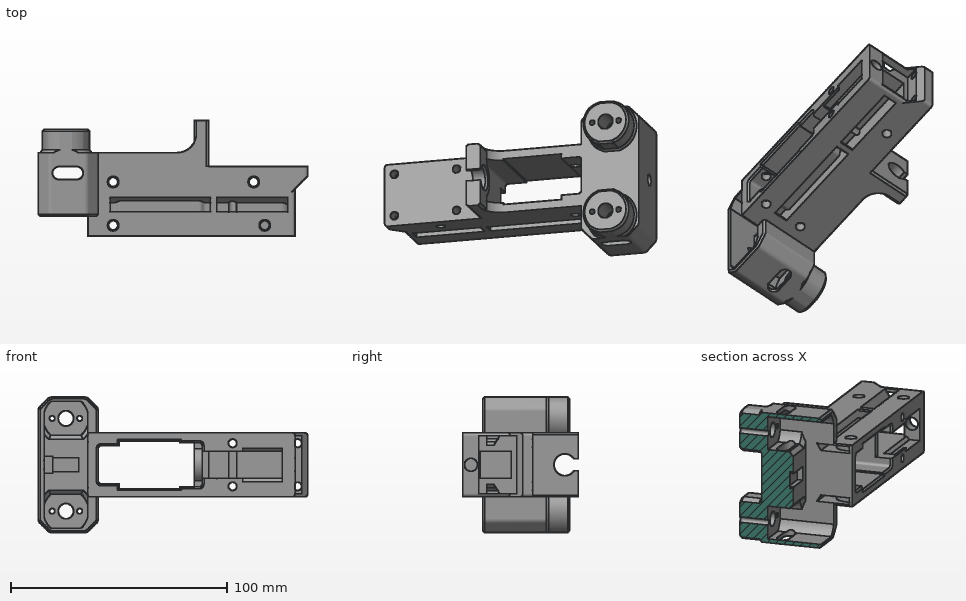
import cadquery as cq
import math

TOTAL_LENGTH = 124.8
TOTAL_DEPTH = 53.5
TOTAL_HEIGHT = 62.7
BODY_HALF = 14.8
BODY_LEFT = 23.0
BODY_RIGHT = 118.9
BODY_BACK = 38.7
TAIL_BACK = 32.3
TAIL_SLOPE = TOTAL_LENGTH - BODY_RIGHT
TAIL_TIP_Y = 27.8
TAIL_FILLET = 1.5

PLATE_LEFT = 72.1
PLATE_RIGHT = 79.0
PLATE_CHAMFER = (1.1, 0.9)
GUSSET_RADIUS = 9.0
GUSSET_X = PLATE_LEFT + PLATE_CHAMFER[0] - GUSSET_RADIUS
CLIP_Y = 47.3
CLIP_RADIUS = 5.0
CLIP_CHAMFER = 1.0
CLIP_GAP_HALF = 2.7

SLEEVE_WIDTH = 27.8
SLEEVE_HALF = TOTAL_HEIGHT / 2
SLEEVE_FRONT = 9.2
SLEEVE_CORNER = 5.2
SLEEVE_ROUND = 2.7
SLEEVE_EDGE = 0.94
CAVITY_LEFT = 2.7
CAVITY_HALF = 29.3
CAVITY_FLOOR = 23.0
BOSS_X = 12.8
BOSS_Z = 21.5
BOSS_RADIUS = 11.0
BOSS_FLAT = (2.9, SLEEVE_HALF - BOSS_Z)
BOSS_BULGE = (5.6, 9.0)
BOSS_SHOULDER = (8.0, 7.5)
BOSS_INNER = (6.2, -9.0)
BOSS_INNER_FLAT = (3.5, -10.4)
BOSS_END = 49.5
BOSS_EDGE = 1.0
BOSS_FLARE = 1.2
BOSS_RIM_TAPER = 45
BOSS_FLARE_TAPER = 35
SEAT_RADIUS = 10.5
SEAT_END = 35.5
SEAT_INNER_Z = 13.7
SEAT_BEVEL = 2.0
CORD_RADIUS = 3.5
PILOT_RADIUS = 1.19
PILOT_OFFSET = 6.4
SLOT_X = 13.7
SLOT_Y = 29.2
SLOT_LENGTH = 14.1
SLOT_WIDTH = 5.9
SIDE_HOLE_Y = 21.6
RECESS_HEAD = (6.9, 24.7, 4.0)
RECESS_SHANK = (18.8, 25.6, 3.2)

WINDOW_LEFT = 27.8
WINDOW_RIGHT = 75.8
WINDOW_STEPS = (37.4, 65.5)
WINDOW_HALVES = (8.9, 11.0, 10.2)
WINDOW_ROUND = 1.4
WINDOW_CHAMFER = 0.9
WINDOW_ROOF = 43.0

BAY_HALF = 6.2
BAY_WIDE_HALF = 7.7
BAY_WIDE_LEFT = 94.7
BAY_RIGHT = 112.9
BAY_LEDGE_Y = 8.1
BAY_BACK = 22.5
POCKET_LEFT = 115.5
POCKET_FRONT = 7.5
POCKET_HALF = 13.3
POCKET_BACK = 25.0
UNDERCUT_LEFT = 82.7
UNDERCUT_FRONT = 1.1
UNDERCUT_BACK = 5.0
GROOVE_DEPTH = 1.2
END_HOLE = (3.9, 3.0)

CHANNEL_TOP = 14.0
CHANNEL_DEEP = 10.7
CHANNEL_SHALLOW = 12.1
CHANNEL_FRONT = 11.2
CHANNEL_BACK = 18.0
CHANNEL_DEEP_BACK = 15.5
SLOTS = ((33.3, 79.7), (82.7, 115.5))
SHALLOW_RANGE = (38.2, 74.5)
RAMP = 3.2
MOUTH_FRONT = 1.5
MOUTH_FLAT = 4.6

SCREW_RADIUS = 2.1
SCREW_MOUTH_RADIUS = 2.6
SCREW_TAPER_DEPTH = CAVITY_LEFT
THROUGH_SCREWS = ((34.7, 5.0), (34.7, 25.1), (99.7, 25.1))
BLIND_SCREW = (104.8, 5.0)
BLIND_SCREW_BOTTOM = BAY_WIDE_HALF + 0.6
CROSS_RADIUS = 1.9
CROSS_Z = 10.0
CROSS_X = (90.0, 120.0)


def box(x0, x1, y0, y1, z0, z1):
    """Box between two opposite corners."""
    return cq.Workplane("XY").box(x1 - x0, y1 - y0, z1 - z0, centered=False).translate((x0, y0, z0))


def band(x0, x1, y0, y1, half):
    """Box centred on the plane of symmetry."""
    return box(x0, x1, y0, y1, -half, half)


def cross_section(y):
    """Workplane facing +Y at depth y; its local axes are X and -Z."""
    return cq.Workplane("XZ", origin=(0, y, 0)).transformed(rotate=(180, 0, 0))


def rod_y(x, z, radius, y0, y1):
    """Cylinder along Y."""
    return cq.Workplane(cq.Solid.makeCylinder(radius, y1 - y0, cq.Vector(x, y0, z), cq.Vector(0, 1, 0)))


def rod_x(y, z, radius, x0, x1):
    """Cylinder along X."""
    return cq.Workplane(cq.Solid.makeCylinder(radius, x1 - x0, cq.Vector(x0, y, z), cq.Vector(1, 0, 0)))


def tapered_mouth(point, direction, rim_radius, radius, depth):
    """Cone that widens the mouth of a hole; direction points into the material."""
    cone = cq.Solid.makeCone(rim_radius, radius, depth, cq.Vector(*point), cq.Vector(*direction))
    return cq.Workplane(cone)


def mirrored(shape):
    """The shape together with its mirror image across Z = 0."""
    return shape.union(shape.mirror("XY"))


def make_body():
    slope_y = TAIL_TIP_Y - TAIL_SLOPE
    block = (
        cq.Workplane("XY")
        .moveTo(BODY_LEFT, 0)
        .lineTo(BODY_RIGHT, 0)
        .lineTo(BODY_RIGHT, slope_y)
        .lineTo(TOTAL_LENGTH, TAIL_TIP_Y)
        .lineTo(TOTAL_LENGTH, TAIL_BACK)
        .lineTo(PLATE_LEFT, TAIL_BACK)
        .lineTo(PLATE_LEFT, BODY_BACK)
        .lineTo(BODY_LEFT, BODY_BACK)
        .close()
        .extrude(BODY_HALF, both=True)
    )
    right_end = cq.selectors.BoxSelector(
        (BODY_RIGHT - TAIL_FILLET, 0, -TOTAL_DEPTH), (TOTAL_LENGTH + TAIL_FILLET, TAIL_BACK, TOTAL_DEPTH)
    )
    block = block.edges(right_end).edges("|Y").fillet(TAIL_FILLET)
    dx, dz = PLATE_CHAMFER
    plate = (
        cross_section(TAIL_BACK)
        .polyline([
            (PLATE_LEFT, BODY_HALF - dz),
            (PLATE_LEFT + dx, BODY_HALF),
            (PLATE_RIGHT - dx, BODY_HALF),
            (PLATE_RIGHT, BODY_HALF - dz),
            (PLATE_RIGHT, dz - BODY_HALF),
            (PLATE_RIGHT - dx, -BODY_HALF),
            (PLATE_LEFT + dx, -BODY_HALF),
            (PLATE_LEFT, dz - BODY_HALF),
        ])
        .close()
        .extrude(TOTAL_DEPTH - TAIL_BACK)
    )
    gusset = (
        band(GUSSET_X, GUSSET_X + GUSSET_RADIUS, TAIL_BACK, BODY_BACK + GUSSET_RADIUS, BODY_HALF)
        .cut(cq.Workplane("XY").center(GUSSET_X, BODY_BACK + GUSSET_RADIUS)
             .circle(GUSSET_RADIUS).extrude(BODY_HALF, both=True))
    )
    return block.union(plate).union(gusset)


def boss_outline(plane):
    """Round outline, flattened at both ends along Z, centred on the boss axis."""
    right_side = (BOSS_FLAT, BOSS_BULGE, BOSS_SHOULDER, BOSS_INNER, BOSS_INNER_FLAT)
    flat, bulge, shoulder, inner, inner_flat = ((-x, z) for x, z in right_side)
    return (
        plane.moveTo(*flat)
        .lineTo(*BOSS_FLAT)
        .threePointArc(BOSS_BULGE, BOSS_SHOULDER)
        .threePointArc((BOSS_RADIUS, 0), BOSS_INNER)
        .lineTo(*BOSS_INNER_FLAT)
        .lineTo(*inner_flat)
        .lineTo(*inner)
        .threePointArc((-BOSS_RADIUS, 0), shoulder)
        .threePointArc(bulge, flat)
        .close()
    )


def boss_plane(y):
    """Plane facing -Y on the boss axis at depth y."""
    return cq.Workplane("XZ", origin=(BOSS_X, y, BOSS_Z))


def make_boss():
    rim_y = BOSS_END - BOSS_EDGE
    flare_y = BODY_BACK + BOSS_FLARE
    shaft = boss_outline(boss_plane(rim_y)).extrude(rim_y - BODY_BACK)
    rim = boss_outline(boss_plane(rim_y)).extrude(-BOSS_EDGE, taper=BOSS_RIM_TAPER)
    flare = boss_outline(boss_plane(flare_y)).extrude(BOSS_FLARE, taper=-BOSS_FLARE_TAPER)
    return shaft.union(rim).union(flare.intersect(band(0, SLEEVE_WIDTH, 0, TOTAL_DEPTH, SLEEVE_HALF)))


def make_sleeve():
    block = (
        band(0, SLEEVE_WIDTH, SLEEVE_FRONT, BODY_BACK, SLEEVE_HALF)
        .edges("|Y").chamfer(SLEEVE_CORNER)
        .edges("|Y").fillet(SLEEVE_ROUND)
        .faces("<Y").chamfer(SLEEVE_EDGE)
    )
    return block.union(mirrored(make_boss()))


def round_ends(y0, y1):
    """Round cut about both boss axes."""
    return mirrored(rod_y(BOSS_X, BOSS_Z, SEAT_RADIUS, y0, y1))


def boss_seats():
    """Deep round seats; a bevel widens their sides towards Z = 0 at the cavity floor."""
    bevel_end = CAVITY_FLOOR + SEAT_BEVEL
    straight = round_ends(CAVITY_FLOOR, SEAT_END).intersect(
        mirrored(box(CAVITY_LEFT, BODY_LEFT, CAVITY_FLOOR, SEAT_END, SEAT_INNER_Z, CAVITY_HALF))
    )
    cone = tapered_mouth(
        (BOSS_X, CAVITY_FLOOR, BOSS_Z), (0, 1, 0), SEAT_RADIUS + SEAT_BEVEL, SEAT_RADIUS, SEAT_BEVEL
    )
    inner_side = (
        cq.Workplane("YZ", origin=(CAVITY_LEFT, 0, 0))
        .polyline([
            (CAVITY_FLOOR, SEAT_INNER_Z - SEAT_BEVEL),
            (bevel_end, SEAT_INNER_Z),
            (bevel_end, BOSS_Z),
            (CAVITY_FLOOR, BOSS_Z),
        ])
        .close()
        .extrude(BODY_LEFT - CAVITY_LEFT)
    )
    return straight.union(mirrored(cone.intersect(inner_side)))


def sleeve_cuts():
    past_front = -SLEEVE_EDGE
    cavity = band(CAVITY_LEFT, BODY_LEFT, past_front, CAVITY_FLOOR, BOSS_Z)
    cavity = cavity.union(round_ends(past_front, CAVITY_FLOOR))
    cavity = cavity.intersect(band(CAVITY_LEFT, BODY_LEFT, past_front, CAVITY_FLOOR, CAVITY_HALF))

    cuts = cavity.union(boss_seats())
    for x, radius in ((0, CORD_RADIUS), (-PILOT_OFFSET, PILOT_RADIUS), (PILOT_OFFSET, PILOT_RADIUS)):
        cuts = cuts.union(mirrored(rod_y(BOSS_X + x, BOSS_Z, radius, CAVITY_FLOOR, BOSS_END)))

    head_right, head_y, head_half = RECESS_HEAD
    shank_right, shank_y, shank_half = RECESS_SHANK
    cuts = cuts.union(band(CAVITY_LEFT, head_right, SIDE_HOLE_Y, head_y, head_half))
    cuts = cuts.union(band(head_right, shank_right, SIDE_HOLE_Y, shank_y, shank_half))
    cuts = cuts.union(rod_x(SIDE_HOLE_Y, 0, SCREW_RADIUS, 0, CAVITY_LEFT))
    side_mouth = tapered_mouth(
        (0, SIDE_HOLE_Y, 0), (1, 0, 0), SCREW_MOUTH_RADIUS, SCREW_RADIUS, SCREW_TAPER_DEPTH
    )
    cuts = cuts.union(side_mouth)

    slot = (
        cq.Workplane("XY").center(SLOT_X, SLOT_Y)
        .slot2D(SLOT_LENGTH, SLOT_WIDTH).extrude(SLEEVE_HALF, both=True)
    )
    return cuts.union(slot)


def window_prism(y_back):
    """Stepped window outline with rounded ends, cut from y_back to the front face."""
    x1, x2 = WINDOW_STEPS
    left, middle, right = WINDOW_HALVES
    upper = [(WINDOW_LEFT, left), (x1, left), (x1, middle), (x2, middle), (x2, right), (WINDOW_RIGHT, right)]
    lower = [(x, -z) for x, z in reversed(upper)]
    prism = cq.Workplane("XZ", origin=(0, y_back, 0)).polyline(upper + lower).close().extrude(y_back)
    return prism.edges("|Y and (<X or >X)").fillet(WINDOW_ROUND)


def window_cut():
    past_back = TOTAL_DEPTH + WINDOW_CHAMFER
    roof = band(PLATE_LEFT, PLATE_RIGHT, WINDOW_ROOF, past_back, BODY_HALF)
    clip_ring = rod_x(CLIP_Y, 0, CLIP_Y - BODY_BACK, PLATE_LEFT, PLATE_RIGHT)
    outline = window_prism(WINDOW_CHAMFER).faces(">Y").wires().vals()
    bevel = (
        cq.Workplane("XZ", origin=(0, WINDOW_CHAMFER, 0))
        .newObject(outline).toPending()
        .extrude(WINDOW_CHAMFER, taper=-45)
    )
    return window_prism(past_back).cut(roof).cut(clip_ring).union(bevel)


def clip_cuts():
    hole = rod_x(CLIP_Y, 0, CLIP_RADIUS, PLATE_LEFT, PLATE_RIGHT)
    bevel = tapered_mouth(
        (PLATE_LEFT, CLIP_Y, 0), (1, 0, 0), CLIP_RADIUS + CLIP_CHAMFER, CLIP_RADIUS, CLIP_CHAMFER
    )
    gap = band(PLATE_LEFT, PLATE_RIGHT, CLIP_Y, TOTAL_DEPTH, CLIP_GAP_HALF)
    return hole.union(bevel).union(gap)


def bay_cuts():
    bay = band(WINDOW_RIGHT, PLATE_RIGHT, 0, BAY_LEDGE_Y, BAY_HALF)
    bay = bay.union(band(PLATE_RIGHT, BAY_RIGHT, 0, BAY_BACK, BAY_HALF))
    bay = bay.union(band(BAY_RIGHT, POCKET_LEFT, POCKET_FRONT, BAY_BACK, BAY_HALF))
    bay = bay.union(band(POCKET_LEFT, TOTAL_LENGTH, POCKET_FRONT, POCKET_BACK, POCKET_HALF))
    bay = bay.union(band(BAY_WIDE_LEFT, BAY_RIGHT, 0, UNDERCUT_BACK, BAY_WIDE_HALF))
    bevel = BAY_WIDE_HALF - BAY_HALF
    undercut = (
        cq.Workplane("YZ", origin=(UNDERCUT_LEFT, 0, 0))
        .polyline([
            (UNDERCUT_FRONT, 0),
            (UNDERCUT_FRONT, BAY_WIDE_HALF),
            (UNDERCUT_BACK, BAY_WIDE_HALF),
            (UNDERCUT_BACK + bevel, BAY_HALF),
            (UNDERCUT_BACK + bevel, 0),
        ])
        .close()
        .extrude(BAY_RIGHT - UNDERCUT_LEFT)
    )
    bay = bay.union(mirrored(undercut))
    groove = band(
        CROSS_X[0] - CROSS_RADIUS, CROSS_X[0] + CROSS_RADIUS, BAY_BACK, BAY_BACK + GROOVE_DEPTH, BAY_HALF
    )
    end_y, end_radius = END_HOLE
    return bay.union(groove).union(rod_x(end_y, 0, end_radius, BAY_RIGHT, BODY_RIGHT))


def channel_floor():
    """Space above the stepped channel floor, as a wide prism along Y."""
    left, right = SHALLOW_RANGE
    middle_z = (CHANNEL_DEEP + CHANNEL_SHALLOW) / 2
    lip = POCKET_LEFT - RAMP
    return (
        cq.Workplane("XZ")
        .moveTo(BODY_LEFT, CHANNEL_DEEP)
        .lineTo(left - RAMP, CHANNEL_DEEP)
        .tangentArcPoint((left - RAMP / 2, middle_z), relative=False)
        .tangentArcPoint((left, CHANNEL_SHALLOW), relative=False)
        .lineTo(right, CHANNEL_SHALLOW)
        .tangentArcPoint((right + RAMP / 2, middle_z), relative=False)
        .tangentArcPoint((right + RAMP, CHANNEL_DEEP), relative=False)
        .lineTo(lip, CHANNEL_DEEP)
        .tangentArcPoint((POCKET_LEFT, CHANNEL_DEEP - RAMP / 2), relative=False)
        .lineTo(POCKET_LEFT, BODY_HALF)
        .lineTo(BODY_LEFT, BODY_HALF)
        .close()
        .extrude(-BODY_BACK)
    )


def channel_cuts():
    slope = (CHANNEL_BACK - CHANNEL_DEEP_BACK) / (BODY_HALF - CHANNEL_DEEP)
    floor_z = CHANNEL_DEEP - RAMP
    section = [
        (CHANNEL_FRONT, floor_z),
        (CHANNEL_FRONT, BODY_HALF),
        (CHANNEL_BACK, BODY_HALF),
        (CHANNEL_BACK - slope * (BODY_HALF - floor_z), floor_z),
    ]
    run = (
        cq.Workplane("YZ", origin=(BODY_LEFT, 0, 0))
        .polyline(section).close().extrude(POCKET_LEFT - BODY_LEFT)
    )
    covered = box(BODY_LEFT, POCKET_LEFT, 0, BODY_BACK, 0, CHANNEL_TOP)
    for left, right in SLOTS:
        covered = covered.union(box(left, right, 0, BODY_BACK, 0, BODY_HALF))
    run = run.intersect(covered).intersect(channel_floor())

    turn = CHANNEL_FRONT - MOUTH_FLAT
    mouth_end = SLOTS[0][0] - turn
    bend = turn * (1 - math.sqrt(0.5))
    mouth = (
        cq.Workplane("XY", origin=(0, 0, CHANNEL_DEEP))
        .moveTo(BODY_LEFT, MOUTH_FRONT)
        .lineTo(mouth_end, MOUTH_FRONT)
        .lineTo(mouth_end, MOUTH_FLAT)
        .threePointArc((mouth_end + bend, CHANNEL_FRONT - bend), (SLOTS[0][0], CHANNEL_FRONT))
        .lineTo(SLOTS[0][0], CHANNEL_DEEP_BACK)
        .lineTo(BODY_LEFT, CHANNEL_DEEP_BACK)
        .close()
        .extrude(CHANNEL_TOP - CHANNEL_DEEP)
    )
    return mirrored(run.union(mouth))


def screw_cut(x, y, bottom):
    """Screw hole along Z with a tapered mouth at the top."""
    hole = cq.Workplane("XY", origin=(x, y, bottom)).circle(SCREW_RADIUS).extrude(BODY_HALF - bottom)
    mouth = tapered_mouth((x, y, BODY_HALF), (0, 0, -1), SCREW_MOUTH_RADIUS, SCREW_RADIUS, SCREW_TAPER_DEPTH)
    return hole.union(mouth)


def screw_cuts():
    cuts = screw_cut(*BLIND_SCREW, BLIND_SCREW_BOTTOM)
    for x, y in THROUGH_SCREWS:
        cuts = cuts.union(screw_cut(x, y, -BODY_HALF))
    for x, start in zip(CROSS_X, (0, POCKET_FRONT)):
        cuts = cuts.union(mirrored(rod_y(x, CROSS_Z, CROSS_RADIUS, start, TAIL_BACK)))
    return cuts


result = make_body().union(make_sleeve())
for feature in (sleeve_cuts(), window_cut(), clip_cuts(), bay_cuts(), channel_cuts(), screw_cuts()):
    result = result.cut(feature)